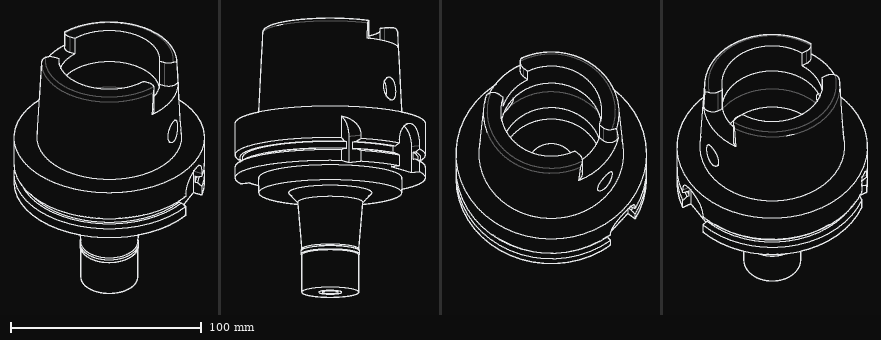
import cadquery as cq
import math


overall_length = 140

taper_height = 50.0
taper_base_radius = 38.0
taper_slope = 1 / 20
taper_top_radius = taper_base_radius - taper_slope * taper_height
taper_top_round = 2.0

mouth_radius = 26.5
mouth_depth = 20.0
chamber_radius = 31.5
chamber_round_z = 10.0
chamber_round = 10.0
chamber_round_angle = math.acos(1 - (chamber_radius - mouth_radius) / chamber_round)
cavity_floor_z = -12.0
coolant_thread_radius = 12.0
coolant_thread_depth = 16.8
cross_hole_radius = 6.0
cross_hole_z = 15.0

drive_slot_width = 20.0
drive_lug_half_length = 32.3
drive_lug_round = 5.0
left_drive_depth = 10.0
right_drive_depth = 15.0

flange_radius = 50.0
flange_height = 29.0
groove_radius = 46.0
groove_lip_radius = 47.5
groove_top_z = -16.8
groove_bottom_z = -23.2
groove_lip_rise = 1.4
collar_radius = 37.5
collar_bottom_z = -37.0

keyway_width = 20.0
keyway_top_z = -5.0
keyway_floor_x = 44.0
notch_floor_x = -31.2
notch_center_y = 41.6

cone_top_radius = 21.8
cone_bottom_radius = 17.1
cone_bottom_z = -42.0
nose_end_radius = 15.0
nose_end_z = -67.0
spigot_radius = 11.5

nut_gap = 1.0
nut_top_z = nose_end_z - nut_gap
nut_bottom_z = taper_height - overall_length
nut_radius = 15.0
rim_radius = 15.4
rim_height = 1.7
rim_chamfer = rim_radius - nut_radius
nut_front_wall = 4.0
spigot_end_z = nut_bottom_z + nut_front_wall

collet_radius = 6.0
collet_bore_radius = 4.0
collet_length = 45.0


def revolve_about_z(profile):
    return profile.revolve(360, (0, 0, 0), (0, 1, 0))


def revolved(points):
    """Solid of revolution about Z from the corners of its (radius, z) outline."""
    return revolve_about_z(cq.Workplane("YZ").polyline(points).close())


def cylinder(radius, bottom_z, top_z):
    return cq.Workplane("XY").workplane(offset=bottom_z).circle(radius).extrude(top_z - bottom_z)


def make_holder_blank():
    taper = revolved([
        (0, 0),
        (taper_base_radius, 0),
        (taper_top_radius, taper_height),
        (0, taper_height),
    ]).faces(">Z").edges().fillet(taper_top_round)
    lower = revolved([
        (0, 0),
        (flange_radius, 0),
        (flange_radius, groove_top_z),
        (groove_lip_radius, groove_top_z - groove_lip_rise),
        (groove_radius, groove_top_z - groove_lip_rise),
        (groove_radius, groove_bottom_z + groove_lip_rise),
        (groove_lip_radius, groove_bottom_z + groove_lip_rise),
        (flange_radius, groove_bottom_z),
        (flange_radius, -flange_height),
        (collar_radius, -flange_height),
        (collar_radius, collar_bottom_z),
        (cone_top_radius, collar_bottom_z),
        (cone_bottom_radius, cone_bottom_z),
        (nose_end_radius, nose_end_z),
        (spigot_radius, nose_end_z),
        (spigot_radius, spigot_end_z),
        (0, spigot_end_z),
    ])
    return taper.union(lower)


def make_cavity():
    """Cutter for the hollow of the taper, the coolant thread bore and the through bore for the collet."""
    mouth_bottom_z = taper_height - mouth_depth
    thread_bottom_z = cavity_floor_z - coolant_thread_depth
    round_center_radius = chamber_radius - chamber_round
    half_angle = chamber_round_angle / 2
    round_middle = (
        round_center_radius + chamber_round * math.cos(half_angle),
        chamber_round_z - chamber_round * math.sin(half_angle),
    )
    round_end = (mouth_radius, chamber_round_z - chamber_round * math.sin(chamber_round_angle))
    profile = (
        cq.Workplane("YZ")
        .moveTo(0, taper_height)
        .lineTo(mouth_radius, taper_height)
        .lineTo(mouth_radius, mouth_bottom_z)
        .lineTo(chamber_radius, mouth_bottom_z)
        .lineTo(chamber_radius, chamber_round_z)
        .threePointArc(round_middle, round_end)
        .lineTo(mouth_radius, cavity_floor_z)
        .lineTo(coolant_thread_radius, cavity_floor_z)
        .lineTo(coolant_thread_radius, thread_bottom_z)
        .lineTo(collet_radius, thread_bottom_z)
        .lineTo(collet_radius, spigot_end_z)
        .lineTo(0, spigot_end_z)
        .close()
    )
    return revolve_about_z(profile)


def make_drive_slot(side, depth):
    """Cutter for one drive slot: a channel that flares round the lug corners."""
    floor_z = taper_height - depth
    inner = cq.Workplane("XY").workplane(offset=floor_z)
    channel = inner.center(side * flange_radius / 2, 0).rect(flange_radius, drive_slot_width).extrude(depth)
    outside = (
        inner.center(side * (drive_lug_half_length + flange_radius / 2), 0)
        .rect(flange_radius, 2 * flange_radius)
        .extrude(depth)
    )
    inner_corners = ">>X[-2]" if side < 0 else "<<X[-2]"
    return channel.union(outside).edges("|Z").edges(inner_corners).fillet(drive_lug_round)


def make_flange_slot(floor_x, center_y):
    """Cutter with a half-round top, milled along X from the floor outwards and open at the bottom."""
    half_width = keyway_width / 2
    arc_center_z = keyway_top_z - half_width
    reach = math.copysign(flange_radius, floor_x)
    return (
        cq.Workplane("YZ")
        .workplane(offset=floor_x)
        .moveTo(center_y - half_width, -flange_height)
        .lineTo(center_y - half_width, arc_center_z)
        .threePointArc((center_y, keyway_top_z), (center_y + half_width, arc_center_z))
        .lineTo(center_y + half_width, -flange_height)
        .close()
        .extrude(reach)
    )


def make_holder():
    cross_hole = (
        cq.Workplane("YZ").center(0, cross_hole_z).circle(cross_hole_radius).extrude(flange_radius, both=True)
    )
    holder = make_holder_blank().cut(make_cavity()).cut(cross_hole)
    for side, depth in ((-1, left_drive_depth), (1, right_drive_depth)):
        holder = holder.cut(make_drive_slot(side, depth))
        holder = holder.cut(make_flange_slot(side * keyway_floor_x, 0))
    return holder.cut(make_flange_slot(notch_floor_x, notch_center_y))


def make_nut():
    """Cap nut over the spigot, with a rim round its upper end."""
    rim_bottom_z = nut_top_z - rim_height
    return revolved([
        (spigot_radius, nut_top_z),
        (rim_radius, nut_top_z),
        (rim_radius, rim_bottom_z),
        (nut_radius, rim_bottom_z - rim_chamfer),
        (nut_radius, nut_bottom_z),
        (collet_radius, nut_bottom_z),
        (collet_radius, spigot_end_z),
        (spigot_radius, spigot_end_z),
    ])


def make_collet():
    """Straight sleeve in the bore of the holder, flush with the front of the nut."""
    collet_top_z = nut_bottom_z + collet_length
    sleeve = cylinder(collet_radius, nut_bottom_z, collet_top_z)
    return sleeve.cut(cylinder(collet_bore_radius, nut_bottom_z, collet_top_z))


holder = make_holder()
nut = make_nut()
collet = make_collet()

result = cq.Compound.makeCompound([holder.solids().val(), nut.val(), collet.val()])